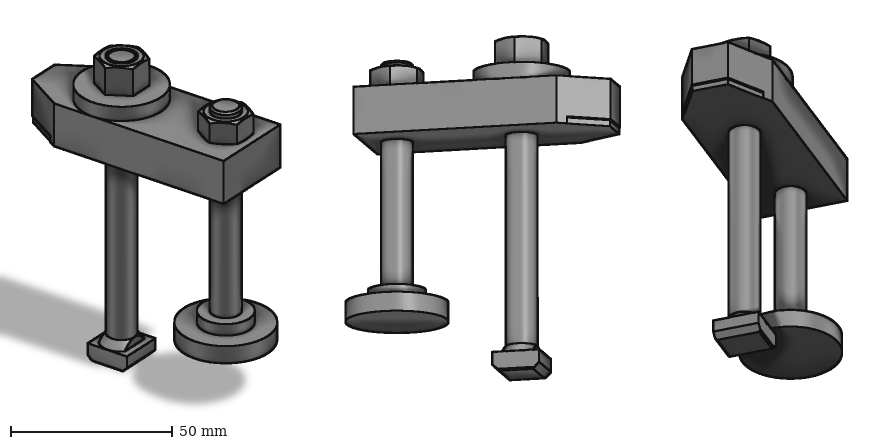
import cadquery as cq
import math


plate_length = 80.0
plate_width = 30.0
plate_thickness = 15.0
plate_bottom = 76.0
nose_length = 15.0
nose_tip_width = 12.0
pad_length = 12.1
pad_height = 1.9
pad_inset = 0.2
pad_slope_height = 0.3

rod_diameter = 10.0
rod_chamfer = 0.7
thread_diameter = 9.2
thread_chamfer = 0.4
bolt_x = 30.0
stud_x = 70.0

head_size = 15.0
head_height = 6.0
head_end_chamfer = 2.0
head_side_chamfer = 0.5
neck_height = 2.9
neck_flare = 2.3
total_height = 106

nut_width = 14.9
nut_bevel_diameter = 13.8
nut_bevel_angle = 20
nut_height = 8.0
collar_diameter = plate_width
collar_height = 5.0

stud_overhang = 2.0
foot_bottom = 19.0
foot_diameter = 32.0
foot_flange_height = 6.0
boss_diameter = 18
boss_height = 4.0

plate_top = plate_bottom + plate_thickness
collar_top = plate_top + collar_height
stud_top = plate_top + nut_height + stud_overhang
boss_bottom = foot_bottom + foot_flange_height
boss_top = boss_bottom + boss_height
socket_depth = boss_height
rod_radius = rod_diameter / 2
nut_corner_diameter = nut_width / math.cos(math.radians(30))


def cylinder(x, diameter, bottom, top):
    """Upright cylinder on the symmetry plane."""
    return cq.Workplane("XY", origin=(x, 0, bottom)).circle(diameter / 2).extrude(top - bottom)


def nose_outline(inset):
    """Plan outline of the plate, with the nose faces moved inward by the inset."""
    slope = (plate_width - nose_tip_width) / 2 / nose_length
    side_shift = inset * math.hypot(1, slope)
    tip_half_width = nose_tip_width / 2 + slope * inset - side_shift
    side_half_width = plate_width / 2
    shoulder_x = nose_length + side_shift / slope
    return [
        (inset, -tip_half_width),
        (shoulder_x, -side_half_width),
        (plate_length, -side_half_width),
        (plate_length, side_half_width),
        (shoulder_x, side_half_width),
        (inset, tip_half_width),
    ]


def make_plate():
    """Tapered clamp plate with a slightly recessed pad under the nose and two through holes."""
    base = cq.Workplane("XY", origin=(0, 0, plate_bottom))
    plate = base.polyline(nose_outline(0)).close().extrude(plate_thickness)

    pad_core = base.polyline(nose_outline(pad_inset)).close().extrude(pad_height)
    slope = (
        base.workplane(offset=pad_height)
        .polyline(nose_outline(pad_inset))
        .close()
        .workplane(offset=pad_slope_height)
        .polyline(nose_outline(0))
        .close()
        .loft()
    )
    step = base.rect(2 * pad_length, plate_width).extrude(pad_height + pad_slope_height)
    plate = plate.cut(step.cut(pad_core).cut(slope))

    for x in (bolt_x, stud_x):
        plate = plate.cut(cylinder(x, rod_diameter, plate_bottom, plate_top))
    return plate


def make_t_bolt():
    """T-bolt: chamfered rectangular head, flared neck with two flats, shank and a slimmer end in the nut."""
    head = cq.Workplane("XY", origin=(bolt_x, 0, 0)).box(
        head_size, head_size, head_height, centered=(True, True, False)
    )
    head = head.faces("<Z").edges("|Y").chamfer(head_end_chamfer)
    head = head.faces("<Z").edges("|X").chamfer(head_side_chamfer)

    neck = (
        cq.Workplane("XY", origin=(bolt_x, 0, head_height))
        .circle(rod_radius + neck_flare)
        .workplane(offset=neck_height)
        .circle(rod_radius)
        .loft()
    )
    flats = cq.Workplane("XY", origin=(bolt_x, 0, head_height)).box(
        rod_diameter, head_size, neck_height, centered=(True, True, False)
    )
    neck = neck.intersect(flats)

    shank = cylinder(bolt_x, rod_diameter, head_height + neck_height, plate_top)
    thread = cylinder(bolt_x, thread_diameter, plate_top, total_height)
    thread = thread.faces(">Z").chamfer(thread_chamfer)
    return head.union(neck).union(shank).union(thread)


def hexagon(x, bottom, top, bevel_bottom):
    """Hexagonal prism with corners along Y, bevelled on top and optionally underneath."""
    height = top - bottom
    corner_radius = nut_corner_diameter / 2
    bevel_radius = nut_bevel_diameter / 2
    drop = (corner_radius - bevel_radius) * math.tan(math.radians(nut_bevel_angle))
    prism = (
        cq.Workplane("XY", origin=(x, 0, bottom))
        .transformed(rotate=(0, 0, 90))
        .polygon(6, nut_corner_diameter)
        .extrude(height)
    )

    envelope = cylinder(x, nut_corner_diameter, bottom, top)
    edge_distance = corner_radius - bevel_radius
    envelope = envelope.faces(">Z").chamfer(drop, edge_distance)
    if bevel_bottom:
        envelope = envelope.faces("<Z").chamfer(drop, edge_distance)
    return prism.intersect(envelope)


def make_collar_nut():
    """Hexagon nut with a wide round collar, on the T-bolt."""
    collar = cylinder(bolt_x, collar_diameter, plate_top, collar_top)
    nut = collar.union(hexagon(bolt_x, collar_top, total_height, bevel_bottom=False))
    nut = nut.cut(cylinder(bolt_x, thread_diameter, plate_top, total_height))

    countersink = (
        cq.Workplane("XY", origin=(bolt_x, 0, total_height))
        .circle(thread_diameter / 2 + thread_chamfer)
        .workplane(offset=-thread_chamfer)
        .circle(thread_diameter / 2)
        .loft()
    )
    return nut.cut(countersink)


def make_hex_nut():
    """Plain hexagon nut on the support stud."""
    nut = hexagon(stud_x, plate_top, plate_top + nut_height, bevel_bottom=True)
    return nut.cut(cylinder(stud_x, rod_diameter, plate_top, plate_top + nut_height))


def make_stud():
    """Support stud, standing in the socket of the foot."""
    stud = cylinder(stud_x, rod_diameter, boss_top - socket_depth, stud_top)
    return stud.faces(">Z").chamfer(rod_chamfer)


def make_foot():
    """Round foot with a raised boss and a blind socket for the stud."""
    foot = cylinder(stud_x, foot_diameter, foot_bottom, boss_bottom)
    foot = foot.union(cylinder(stud_x, boss_diameter, boss_bottom, boss_top))
    return foot.cut(cylinder(stud_x, rod_diameter, boss_top - socket_depth, boss_top))


plate = make_plate()
t_bolt = make_t_bolt()
collar_nut = make_collar_nut()
hex_nut = make_hex_nut()
stud = make_stud()
foot = make_foot()

result = cq.Compound.makeCompound(
    [plate.val(), t_bolt.val(), collar_nut.val(), hex_nut.val(), stud.val(), foot.val()]
)